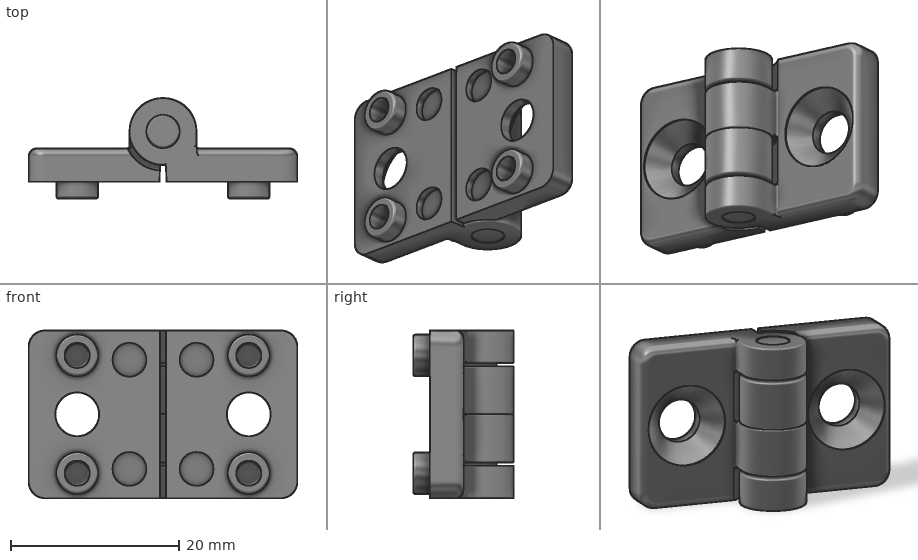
import cadquery as cq
HINGE_WIDTH = 32.0
HINGE_HEIGHT = 20.0
BARREL_RADIUS = 4.0
PLATE_THICKNESS = 4.0
HALF_WIDTH = HINGE_WIDTH / 2
HALF_HEIGHT = HINGE_HEIGHT / 2
PLATE_BACK_Y = -BARREL_RADIUS / 2
MOUNT_FACE_Y = PLATE_BACK_Y - PLATE_THICKNESS

CORNER_RADIUS = 2.0
BACK_EDGE_RADIUS = 1.0
SLOT_HALF_WIDTH_BACK = 0.32
SLOT_HALF_WIDTH_MOUNT = 0.4

OUTER_KNUCKLE_LENGTH = 3.9
KNUCKLE_GAP = 0.35
INNER_KNUCKLE_LENGTH = HALF_HEIGHT - OUTER_KNUCKLE_LENGTH - KNUCKLE_GAP
KNUCKLE_EDGE_RADIUS = 0.2
KNUCKLE_ROOT_RADIUS = 0.25
OUTER_KNUCKLE_BOTTOM = HALF_HEIGHT - OUTER_KNUCKLE_LENGTH
KNUCKLE_SPANS = ((OUTER_KNUCKLE_BOTTOM, HALF_HEIGHT), (-INNER_KNUCKLE_LENGTH, 0))
ROOT_SEARCH = 0.003

POCKET_RADIUS = 4.67
POCKET_FLOOR_RADIUS = 0.35

PIN_RADIUS = 2.0
PIN_EDGE_RADIUS = 0.25

FASTENER_X = 10.2
PEG_Z = 7.0
PEG_RADIUS = 2.5
PEG_HEIGHT = PLATE_THICKNESS / 2
PEG_EDGE_RADIUS = 0.32
PEG_BORE_RADIUS = 1.5
PEG_BORE_DEPTH = 4.0
PEG_BORE_FLOOR_RADIUS = 0.32
SCREW_HOLE_RADIUS = 2.6
SCREW_HOLE_STRAIGHT_DEPTH = 1.5
COUNTERSINK_RIM_DEPTH = 0.2

RECESS_X = 4.0
RECESS_Z = 6.5
RECESS_RADIUS = 2.0
RECESS_DEPTH = 1.0


def z_cylinder(radius, bottom, top):
    """Cylinder about the pin axis."""
    return cq.Workplane("XY").workplane(offset=bottom).circle(radius).extrude(top - bottom)


def mount_cylinder(x, z, radius, start_depth, end_depth):
    """Cylinder normal to the mounting face, between two depths below that face."""
    base = cq.Workplane("XZ", origin=(x, MOUNT_FACE_Y + start_depth, z))
    return base.circle(radius).extrude(start_depth - end_depth)


def make_plate():
    """Plate with rounded outer corners, rounded back edges and a sloped slot side."""
    plate = (
        cq.Workplane("XY")
        .workplane(offset=-HALF_HEIGHT)
        .moveTo(SLOT_HALF_WIDTH_BACK, -BARREL_RADIUS)
        .lineTo(SLOT_HALF_WIDTH_BACK, PLATE_BACK_Y)
        .lineTo(HALF_WIDTH, PLATE_BACK_Y)
        .lineTo(HALF_WIDTH, MOUNT_FACE_Y)
        .lineTo(SLOT_HALF_WIDTH_MOUNT, MOUNT_FACE_Y)
        .close()
        .extrude(HINGE_HEIGHT)
    )
    plate = plate.edges("|Y and >X").fillet(CORNER_RADIUS)
    return plate.faces(">Y").edges(">X").fillet(BACK_EDGE_RADIUS)


def cut_knuckle_pockets(plate):
    """Cut the pocket beside the inner knuckle and the one open at the lower end."""
    inner_pocket = z_cylinder(POCKET_RADIUS, 0, OUTER_KNUCKLE_BOTTOM)
    inner_pocket = inner_pocket.edges().fillet(POCKET_FLOOR_RADIUS)
    outer_pocket = z_cylinder(POCKET_RADIUS, -HALF_HEIGHT, -INNER_KNUCKLE_LENGTH)
    outer_pocket = outer_pocket.edges(">Z").fillet(POCKET_FLOOR_RADIUS)
    return plate.cut(inner_pocket).cut(outer_pocket)


def knuckle_prism(bottom, top, flank_end_y):
    """Round barrel with a straight flank on its plate side, closed back to the slot."""
    return (
        cq.Workplane("XY")
        .workplane(offset=bottom)
        .moveTo(BARREL_RADIUS, flank_end_y)
        .lineTo(BARREL_RADIUS, 0)
        .threePointArc((-BARREL_RADIUS, 0), (0, -BARREL_RADIUS))
        .lineTo(SLOT_HALF_WIDTH_BACK, -BARREL_RADIUS)
        .lineTo(SLOT_HALF_WIDTH_BACK, flank_end_y)
        .close()
        .extrude(top - bottom)
    )


def add_knuckles(plate):
    """Join both knuckles to the plate, with a fillet along the root of each flank."""
    leaf = plate
    for bottom, top in KNUCKLE_SPANS:
        leaf = leaf.union(knuckle_prism(bottom, top, MOUNT_FACE_Y / 2))
    root_zone = cq.selectors.BoxSelector(
        (BARREL_RADIUS - ROOT_SEARCH, PLATE_BACK_Y - BACK_EDGE_RADIUS, -INNER_KNUCKLE_LENGTH),
        (BARREL_RADIUS + ROOT_SEARCH, PLATE_BACK_Y + ROOT_SEARCH, HALF_HEIGHT),
    )
    return leaf.edges(root_zone).fillet(KNUCKLE_ROOT_RADIUS)


def round_knuckle_ends(leaf):
    """Round the end edges of each knuckle around the barrel and down the flank."""
    flank_end_y = PLATE_BACK_Y + KNUCKLE_ROOT_RADIUS
    for bottom, top in KNUCKLE_SPANS:
        sharp = knuckle_prism(bottom, top, flank_end_y)
        arc_edges = sharp.faces("<Z or >Z").edges("%CIRCLE")
        rounded = arc_edges.fillet(KNUCKLE_EDGE_RADIUS)
        leaf = leaf.cut(sharp.cut(rounded))
    return leaf


def add_pegs(leaf):
    """Add the two hollow locating pegs to the mounting face."""
    for z in (-PEG_Z, PEG_Z):
        peg = mount_cylinder(FASTENER_X, z, PEG_RADIUS, -PEG_HEIGHT, 0)
        peg = peg.faces("<Y").edges().fillet(PEG_EDGE_RADIUS)
        bore = mount_cylinder(FASTENER_X, z, PEG_BORE_RADIUS, -PEG_HEIGHT, PEG_BORE_DEPTH - PEG_HEIGHT)
        bore = bore.faces(">Y").edges().fillet(PEG_BORE_FLOOR_RADIUS)
        leaf = leaf.union(peg).cut(bore)
    return leaf


def cut_screw_hole(leaf):
    """Cut the through hole, countersunk from the back of the plate."""
    hole = mount_cylinder(FASTENER_X, 0, SCREW_HOLE_RADIUS, 0, PLATE_THICKNESS)
    cone_end_depth = PLATE_THICKNESS - COUNTERSINK_RIM_DEPTH
    cone_depth = cone_end_depth - SCREW_HOLE_STRAIGHT_DEPTH
    rim_radius = SCREW_HOLE_RADIUS + cone_depth
    countersink = mount_cylinder(FASTENER_X, 0, rim_radius, SCREW_HOLE_STRAIGHT_DEPTH, PLATE_THICKNESS)
    countersink = countersink.faces("<Y").edges().chamfer(cone_depth)
    return leaf.cut(hole).cut(countersink)


def cut_recesses(leaf):
    """Cut the two shallow round recesses in the mounting face."""
    for z in (-RECESS_Z, RECESS_Z):
        leaf = leaf.cut(mount_cylinder(RECESS_X, z, RECESS_RADIUS, 0, RECESS_DEPTH))
    return leaf


def make_pin():
    """Hinge pin with rounded ends, flush with the outer knuckles."""
    pin = z_cylinder(PIN_RADIUS, -HALF_HEIGHT, HALF_HEIGHT)
    return pin.edges("%CIRCLE").fillet(PIN_EDGE_RADIUS)


def make_leaf():
    """Right-hand leaf: plate, knuckles, pegs, holes and the pin bore."""
    leaf = cut_knuckle_pockets(make_plate())
    leaf = round_knuckle_ends(add_knuckles(leaf))
    leaf = cut_recesses(cut_screw_hole(add_pegs(leaf)))
    return leaf.cut(z_cylinder(PIN_RADIUS, -HALF_HEIGHT, HALF_HEIGHT))


leaves = []
for turn in (0, 180):
    leaves.append(make_leaf().rotate((0, 0, 0), (0, 1, 0), turn))
pin = make_pin()

result = cq.Compound.makeCompound([*[leaf.val() for leaf in leaves], pin.val()])